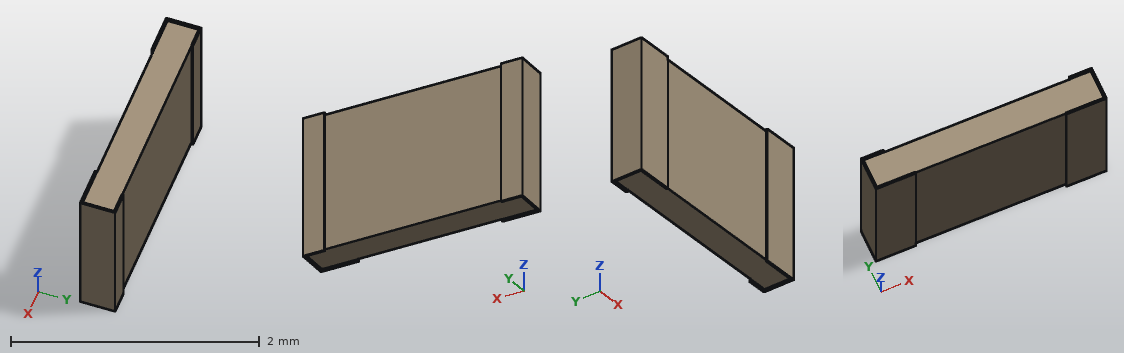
import cadquery as cq

length = 2.03
depth = 0.3
height = 1.27

plating = 0.015
front_leg = 0.351
back_leg = 0.197

body_length = length - 2 * plating
body_depth = depth - 2 * plating
body_height = height - 2 * plating


def make_body():
    """Plain rectangular chip body."""
    return cq.Workplane("XY").box(body_length, body_depth, body_height)


def make_terminal(side):
    """C-shaped terminal wrapped around one end; side is -1 for the -X end, +1 for the +X end."""
    outer_x = side * length / 2
    inner_x = side * body_length / 2
    front_tip_x = outer_x - side * front_leg
    back_tip_x = outer_x - side * back_leg
    outer_y = depth / 2
    inner_y = body_depth / 2
    return (
        cq.Workplane("XY", origin=(0, 0, -height / 2))
        .polyline([
            (front_tip_x, -outer_y),
            (outer_x, -outer_y),
            (outer_x, outer_y),
            (back_tip_x, outer_y),
            (back_tip_x, inner_y),
            (inner_x, inner_y),
            (inner_x, -inner_y),
            (front_tip_x, -inner_y),
        ])
        .close()
        .extrude(height)
    )


body = make_body()
terminals = [make_terminal(side) for side in (-1, 1)]

result = cq.Compound.makeCompound([body.val(), *[terminal.val() for terminal in terminals]])